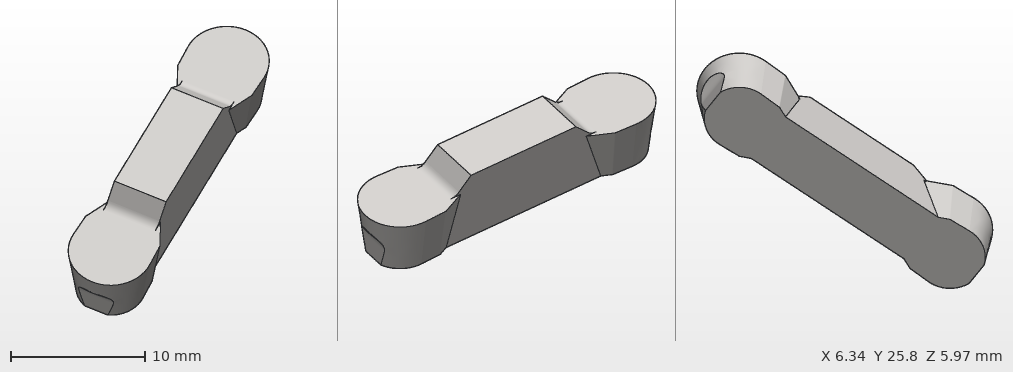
import cadquery as cq
import math


total_length = 25.8
total_height = 5.97
head_width = 6.34
head_height = 4.57
bar_width = 4.3

nose_radius = head_width / 2
nose_center_y = total_length / 2 - nose_radius
side_lean = math.radians(2.5)
neck_angle = math.radians(25.0)
neck_end_y = 5.72
neck_corner_radius = 0.2
relief_angle = 7.0

notch_depth = 0.74
notch_flat_height = 1.7
notch_arc_radius = 1.5

bar_top_half_length = 4.78
ramp_angle = math.radians(45.0)
ramp_foot_radius = 1.0


def head_blank():
    """Drop-shaped head on the +Y end, tapering inward towards the bottom."""
    bar_half_width = bar_width / 2
    apex_y = neck_end_y - bar_half_width / math.tan(neck_angle)
    tangent_x = nose_radius * math.cos(side_lean)
    tangent_y = nose_center_y - nose_radius * math.sin(side_lean)

    side_slope = math.tan(side_lean)
    neck_slope = math.tan(neck_angle)
    corner_y = (tangent_x - tangent_y * side_slope + apex_y * neck_slope) / (neck_slope - side_slope)
    corner_x = (corner_y - apex_y) * neck_slope

    blank = (
        cq.Workplane("XY")
        .workplane(offset=head_height)
        .moveTo(0, apex_y)
        .lineTo(corner_x, corner_y)
        .lineTo(tangent_x, tangent_y)
        .threePointArc((0, nose_center_y + nose_radius), (-tangent_x, tangent_y))
        .lineTo(-corner_x, corner_y)
        .close()
        .extrude(-head_height, taper=relief_angle)
    )
    margin = 0.5
    corner_zone = cq.selectors.BoxSelector(
        (-head_width, corner_y - margin, 0),
        (head_width, corner_y + margin, head_height),
    )
    return blank.edges("not #Z").edges(corner_zone).fillet(neck_corner_radius)


def nose_notch():
    """Cutter leaving a vertical flat on the lower nose that curves out to the relieved wall."""
    flat_y = total_length / 2 - notch_depth
    arc_half = notch_arc_radius * math.sqrt(0.5)
    return (
        cq.Workplane("YZ")
        .moveTo(flat_y, 0)
        .lineTo(flat_y, notch_flat_height)
        .threePointArc(
            (flat_y + notch_arc_radius - arc_half, notch_flat_height + arc_half),
            (flat_y + notch_arc_radius, notch_flat_height + notch_arc_radius),
        )
        .lineTo(flat_y + notch_arc_radius, 0)
        .close()
        .extrude(head_width / 2, both=True)
    )


def bar():
    """Straight bar whose raised top ramps down to both heads through a concave radius."""
    foot_run = ramp_foot_radius * math.sin(ramp_angle)
    foot_rise = ramp_foot_radius * (1 - math.cos(ramp_angle))
    ramp_drop = total_height - head_height - foot_rise
    ramp_end_y = bar_top_half_length + ramp_drop / math.tan(ramp_angle)
    foot_end_y = ramp_end_y + foot_run
    foot_mid_y = foot_end_y - ramp_foot_radius * math.sin(ramp_angle / 2)
    foot_mid_z = head_height + ramp_foot_radius * (1 - math.cos(ramp_angle / 2))
    half_profile = (
        cq.Workplane("YZ")
        .moveTo(0, 0)
        .lineTo(nose_center_y, 0)
        .lineTo(nose_center_y, head_height)
        .lineTo(foot_end_y, head_height)
        .threePointArc((foot_mid_y, foot_mid_z), (ramp_end_y, head_height + foot_rise))
        .lineTo(bar_top_half_length, total_height)
        .lineTo(0, total_height)
        .close()
    )
    half_bar = half_profile.extrude(bar_width / 2, both=True)
    return half_bar.union(half_bar.mirror("XZ"))


head = head_blank().cut(nose_notch())
result = bar().union(head).union(head.mirror("XZ")).clean()